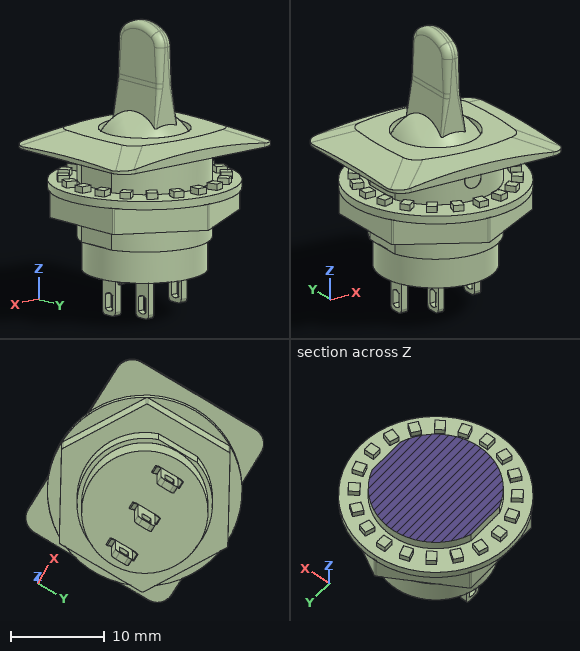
import cadquery as cq
import math


OVERALL_HEIGHT = 32.68

BEZEL_X = 22.0
BEZEL_Y = 18.0
BEZEL_HEIGHT = 2.0
BEZEL_CORNER_RADIUS = 1.9
BEZEL_SLOPE = 0.4
PLATEAU_X = 14.7
PLATEAU_Y = 13.75
PLATEAU_X_SIDE_RADIUS = 41.0
PLATEAU_Y_SIDE_RADIUS = 22.0
RIDGE_RADIUS = 5.2
BALL_OPENING_DIAMETER = 9.9

BALL_DIAMETER = 11.0
BALL_TOP = 4.17
BALL_CENTRE = BALL_TOP - BALL_DIAMETER / 2
BALL_OPENING_FLOOR = BALL_CENTRE + math.sqrt(BALL_DIAMETER**2 - BALL_OPENING_DIAMETER**2) / 2

LEVER_WIDTH = 7.0
LEVER_THICKNESS = 1.97
LEVER_TOP = 13.78
LEVER_SHOULDER = 11.43
LEVER_TIP_CORNER_RADIUS = 1.9
LEVER_BEND_TOP = 7.5
LEVER_BEND_BOTTOM = 6.97
LEVER_BEND_THICKNESS = 2.02
LEVER_FOOT = 1.6
LEVER_FLARE = 0.26
LEVER_EDGE_RADIUS = 0.82
LEVER_EDGE_TAPER = 0.073

BUSHING_DIAMETER = 14.48
BUSHING_ACROSS_FLATS = 13.65
BUSHING_BOTTOM = -9.95
CASE_DIAMETER = 13.5
CASE_BOTTOM = -13.5
KEY_DIAMETER = 2.1
KEY_HEIGHT = -1.16
KEY_LENGTH = 1.0

WASHER_DIAMETER = 20.8
WASHER_TOP = -3.65
WASHER_THICKNESS = 0.9
TOOTH_COUNT = 20
TOOTH_WIDTH = 1.15
TOOTH_HEIGHT = 0.7
TOOTH_INNER_RADIUS = 8.1
TOOTH_OUTER_RADIUS = 9.35
HEX_SIDES = 6
NUT_ACROSS_FLATS = 18.0
NUT_THICKNESS = 2.86
NUT_EDGE_RADIUS = 0.25

TERMINAL_PITCH = 4.67
TERMINAL_WIDTH = 2.1
TERMINAL_CORNER_RADIUS = 0.5
SIDE_TERMINAL_THICKNESS = 0.83
SIDE_TERMINAL_BOTTOM = -17.85
MIDDLE_TERMINAL_THICKNESS = 0.74
MIDDLE_TERMINAL_BOTTOM = LEVER_TOP - OVERALL_HEIGHT
EYE_WIDTH = 1.12
EYE_LENGTH = 2.0
EYE_END_RISE = 0.23
EYE_MARGIN = 0.5
BARB_ROOT = 0.37
BARB_OUTER_REACH = 0.69
BARB_OUTER_DROP = 0.48
BARB_INNER_REACH = 0.57
BARB_INNER_DROP = 0.7


def cylinder(diameter, bottom, top):
    return cq.Workplane("XY").workplane(offset=bottom).circle(diameter / 2).extrude(top - bottom)


def bezel_cone(top_radius, plateau_half, angle):
    """Large cone whose flank forms the sloping bezel side facing the given direction."""
    base_radius = top_radius + BEZEL_HEIGHT / BEZEL_SLOPE
    profile = [(0, 0), (base_radius, 0), (top_radius, BEZEL_HEIGHT), (0, BEZEL_HEIGHT)]
    cone = cq.Workplane("XZ").polyline(profile).close().revolve(360, (0, 0, 0), (0, 1, 0))
    return cone.translate((plateau_half - top_radius, 0, 0)).rotate((0, 0, 0), (0, 0, 1), angle)


def make_bezel():
    hood = bezel_cone(PLATEAU_X_SIDE_RADIUS, PLATEAU_X / 2, 0)
    hood = hood.intersect(bezel_cone(PLATEAU_X_SIDE_RADIUS, PLATEAU_X / 2, 180))
    for angle in (90, 270):
        hood = hood.intersect(bezel_cone(PLATEAU_Y_SIDE_RADIUS, PLATEAU_Y / 2, angle))
    hood = hood.edges("not(#Z or >Z or <Z)").fillet(RIDGE_RADIUS)
    plate = (
        cq.Workplane("XY")
        .box(BEZEL_X, BEZEL_Y, BEZEL_HEIGHT, centered=(True, True, False))
        .edges("|Z")
        .fillet(BEZEL_CORNER_RADIUS)
    )
    return plate.intersect(hood)


def lever_section(height, thickness):
    edge_radius = LEVER_EDGE_RADIUS - LEVER_EDGE_TAPER * (LEVER_SHOULDER - height)
    section = cq.Sketch().rect(thickness, LEVER_WIDTH).vertices().fillet(edge_radius)
    return section.moved(cq.Location(cq.Vector(0, 0, height)))


def lever_blade(lower, upper):
    """Straight-sided stretch between two (height, thickness) sections."""
    return cq.Workplane("XY").placeSketch(lever_section(*lower), lever_section(*upper)).loft(ruled=True)


def make_lever_tip():
    half = LEVER_WIDTH / 2
    corner = LEVER_TIP_CORNER_RADIUS
    rise = LEVER_TOP - LEVER_SHOULDER
    offset = half - corner
    crown = (offset**2 + rise**2 - corner**2) / (2 * (rise - corner))
    crown_centre = LEVER_TOP - crown
    lean = math.atan2(offset, LEVER_SHOULDER - crown_centre)
    join = (crown * math.sin(lean), crown_centre + crown * math.cos(lean))
    middle = (lean + math.pi / 2) / 2
    bulge = (offset + corner * math.sin(middle), LEVER_SHOULDER + corner * math.cos(middle))
    tip = (
        cq.Workplane("YZ")
        .moveTo(-half, LEVER_SHOULDER)
        .threePointArc((-bulge[0], bulge[1]), (-join[0], join[1]))
        .threePointArc((0, LEVER_TOP), join)
        .threePointArc(bulge, (half, LEVER_SHOULDER))
        .close()
        .extrude(LEVER_THICKNESS / 2, both=True)
    )
    return tip.faces("<X or >X").edges("not <Z").fillet(LEVER_EDGE_RADIUS)


def make_lever():
    foot_thickness = LEVER_BEND_THICKNESS + LEVER_FLARE * (LEVER_BEND_BOTTOM - LEVER_FOOT)
    sections = [
        (LEVER_FOOT, foot_thickness),
        (LEVER_BEND_BOTTOM, LEVER_BEND_THICKNESS),
        (LEVER_BEND_TOP, LEVER_THICKNESS),
        (LEVER_SHOULDER, LEVER_THICKNESS),
    ]
    lever = make_lever_tip()
    for lower, upper in zip(sections, sections[1:]):
        lever = lever.union(lever_blade(lower, upper))
    return lever


def make_body():
    bushing = cylinder(BUSHING_DIAMETER, BUSHING_BOTTOM, 0)
    flats = cq.Workplane("XY").box(BUSHING_ACROSS_FLATS, BUSHING_DIAMETER, -2 * BUSHING_BOTTOM)
    case = cylinder(CASE_DIAMETER, CASE_BOTTOM, BUSHING_BOTTOM)
    return bushing.intersect(flats).union(case)


def make_washer():
    washer = cylinder(WASHER_DIAMETER, WASHER_TOP - WASHER_THICKNESS, WASHER_TOP)
    length = TOOTH_OUTER_RADIUS - TOOTH_INNER_RADIUS
    teeth = (
        cq.Workplane("XY")
        .workplane(offset=WASHER_TOP)
        .polarArray((TOOTH_INNER_RADIUS + TOOTH_OUTER_RADIUS) / 2, 0, 360, TOOTH_COUNT)
        .rect(length, TOOTH_WIDTH)
        .extrude(TOOTH_HEIGHT)
    )
    return washer.union(teeth)


def make_nut():
    across_corners = NUT_ACROSS_FLATS / math.cos(math.pi / HEX_SIDES)
    nut = (
        cq.Workplane("XY")
        .workplane(offset=WASHER_TOP - WASHER_THICKNESS)
        .polygon(HEX_SIDES, across_corners)
        .extrude(-NUT_THICKNESS)
        .edges("|Z")
        .fillet(NUT_EDGE_RADIUS)
    )
    return nut.rotate((0, 0, 0), (0, 0, 1), 180 / HEX_SIDES)


def make_terminal(x, thickness, bottom):
    """Flat terminal with an eye, and a barb on each edge where it leaves the case."""
    half = TERMINAL_WIDTH / 2
    plane = cq.Workplane("YZ").workplane(offset=x)
    blade = (
        plane.center(0, (CASE_BOTTOM + bottom) / 2)
        .rect(TERMINAL_WIDTH, CASE_BOTTOM - bottom)
        .extrude(thickness / 2, both=True)
        .edges("|X and <Z")
        .fillet(TERMINAL_CORNER_RADIUS)
    )
    eye_bottom = bottom + EYE_MARGIN
    eye_top = eye_bottom + EYE_LENGTH
    eye = (
        plane.moveTo(-EYE_WIDTH / 2, eye_bottom + EYE_END_RISE)
        .threePointArc((0, eye_bottom), (EYE_WIDTH / 2, eye_bottom + EYE_END_RISE))
        .lineTo(EYE_WIDTH / 2, eye_top - EYE_END_RISE)
        .threePointArc((0, eye_top), (-EYE_WIDTH / 2, eye_top - EYE_END_RISE))
        .close()
        .extrude(thickness, both=True)
    )
    barb = (
        plane.moveTo(half, CASE_BOTTOM)
        .lineTo(half + BARB_ROOT, CASE_BOTTOM)
        .lineTo(half + BARB_OUTER_REACH, CASE_BOTTOM - BARB_OUTER_DROP)
        .lineTo(half + BARB_INNER_REACH, CASE_BOTTOM - BARB_INNER_DROP)
        .close()
        .extrude(thickness / 2, both=True)
    )
    return blade.cut(eye).union(barb).union(barb.mirror("XZ"))


def make_key():
    """Small round key on the -Y side of the bushing, its flat end touching the bushing diameter."""
    front = BUSHING_DIAMETER / 2
    return (
        cq.Workplane("XZ", origin=(0, 0, KEY_HEIGHT))
        .workplane(offset=front - KEY_LENGTH)
        .circle(KEY_DIAMETER / 2)
        .extrude(KEY_LENGTH)
    )


def make_terminals():
    terminals = make_terminal(0, MIDDLE_TERMINAL_THICKNESS, MIDDLE_TERMINAL_BOTTOM)
    for x in (-TERMINAL_PITCH, TERMINAL_PITCH):
        terminals = terminals.add(make_terminal(x, SIDE_TERMINAL_THICKNESS, SIDE_TERMINAL_BOTTOM))
    return terminals.combine()


ball = cq.Workplane("XY").sphere(BALL_DIAMETER / 2).translate((0, 0, BALL_CENTRE))
ball_opening = cylinder(BALL_OPENING_DIAMETER, BALL_OPENING_FLOOR, BEZEL_HEIGHT)

result = make_bezel().union(make_body()).cut(ball_opening)
for piece in (ball, make_lever(), make_key(), make_washer(), make_nut(), make_terminals()):
    result = result.union(piece)